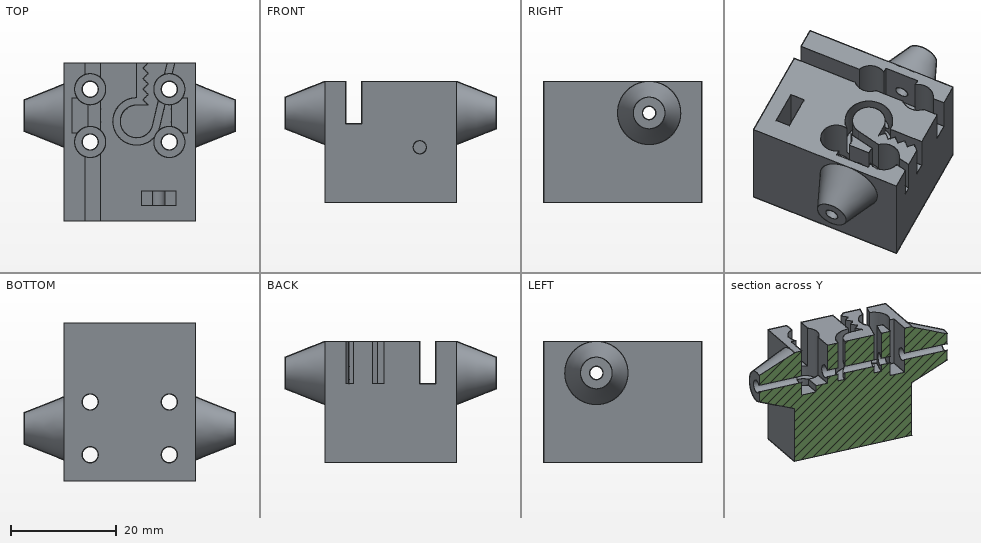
import cadquery as cq
import math

block_width = 25.0
block_length = 30.0
block_height = 23.0

nozzle_length = 7.5
nozzle_base_diameter = 12.0
nozzle_tip_diameter = 6.0
nozzle_y = 20.0
nozzle_z = block_height - nozzle_base_diameter / 2
bore_diameter = 2.5

groove_left = 4.0
groove_width = 3.0
groove_depth = 8.0

screw_diameter = 3.0
screw_head_diameter = 5.9
screw_head_depth = 10.0
screw_spacing_x = 15.0
screw_spacing_y = 10.0

side_pocket_width = 3.0
side_pocket_length = 6.6
side_pocket_depth = nozzle_base_diameter / 2 + side_pocket_length / 2
side_pocket_offset_x = 9.4

latch_slot_width = 1.4
latch_slot_depth = 8.0
latch_inner_radius = 3.1
latch_x = 13.8
latch_tilt = math.radians(13.2)
tooth_count = 4
tooth_pitch = 2.0
tooth_height = tooth_pitch / 2
tooth_tip_x = 15.0

clamp_screw_diameter = 2.5
clamp_x = 18.0
clamp_z = 10.5
nut_pocket_width = 6.5
nut_pocket_length = 2.75
nut_pocket_front_y = 3.0
nut_pocket_depth = 13.0


def top_pocket(left, front, width, length, depth):
    """Rectangular cutter reaching down from the top face."""
    floor_z = block_height - depth
    return cq.Workplane("XY").box(width, length, depth, centered=False).translate((left, front, floor_z))


def nozzle_body():
    """Both cones and the cylinder joining them, revolved about the bore axis."""
    base_radius = nozzle_base_diameter / 2
    tip_radius = nozzle_tip_diameter / 2
    right_end = block_width + nozzle_length
    return (
        cq.Workplane("XZ")
        .moveTo(-nozzle_length, 0)
        .lineTo(-nozzle_length, tip_radius)
        .lineTo(0, base_radius)
        .lineTo(block_width, base_radius)
        .lineTo(right_end, tip_radius)
        .lineTo(right_end, 0)
        .close()
        .revolve(360, (0, 0, 0), (1, 0, 0))
        .translate((0, nozzle_y, nozzle_z))
    )


def bore():
    total_length = block_width + 2 * nozzle_length
    return (
        cq.Workplane("YZ", origin=(-nozzle_length, nozzle_y, nozzle_z))
        .circle(bore_diameter / 2)
        .extrude(total_length)
    )


def screw_holes():
    centers = cq.Workplane("XY", origin=(block_width / 2, nozzle_y, 0)).rarray(
        screw_spacing_x, screw_spacing_y, 2, 2
    )
    shanks = centers.circle(screw_diameter / 2).extrude(block_height)
    heads = (
        centers.circle(screw_head_diameter / 2)
        .extrude(screw_head_depth)
        .translate((0, 0, block_height - screw_head_depth))
    )
    return shanks.union(heads)


def side_pocket(side):
    """Pocket on the left (side = -1) or the right (side = 1) of the block centre."""
    center_x = block_width / 2 + side * side_pocket_offset_x
    return top_pocket(
        center_x - side_pocket_width / 2,
        nozzle_y - side_pocket_length / 2,
        side_pocket_width,
        side_pocket_length,
        side_pocket_depth,
    )


def latch_slot():
    """Slot that leaves a latch arm: toothed opening, hooked bend and tilted straight run."""
    outer_radius = latch_inner_radius + latch_slot_width
    toothed_length = tooth_count * tooth_pitch
    hook_top_y = block_length - toothed_length
    center_y = hook_top_y - latch_inner_radius

    def on_circle(radius, angle):
        return (latch_x + radius * math.cos(angle), center_y + radius * math.sin(angle))

    def run_end(radius):
        """Where the tangent leaving the circle reaches the back face."""
        start_x, start_y = on_circle(radius, -latch_tilt)
        return (start_x + (block_length - start_y) * math.tan(latch_tilt), block_length)

    bend_middle = (math.pi / 2 + 2 * math.pi - latch_tilt) / 2
    outline = (
        cq.Workplane("XY", origin=(0, 0, block_height - latch_slot_depth))
        .moveTo(latch_x, block_length)
        .lineTo(latch_x, center_y + outer_radius)
        .threePointArc(on_circle(outer_radius, bend_middle), on_circle(outer_radius, -latch_tilt))
        .lineTo(*run_end(outer_radius))
        .lineTo(*run_end(latch_inner_radius))
        .lineTo(*on_circle(latch_inner_radius, -latch_tilt))
        .threePointArc(on_circle(latch_inner_radius, bend_middle), (latch_x, hook_top_y))
        .lineTo(tooth_tip_x + tooth_height, hook_top_y)
    )
    for tooth in range(tooth_count):
        root_y = hook_top_y + tooth * tooth_pitch
        outline = outline.lineTo(tooth_tip_x, root_y + tooth_pitch / 2)
        outline = outline.lineTo(tooth_tip_x + tooth_height, root_y + tooth_pitch)
    return outline.close().extrude(latch_slot_depth)


def clamp_cutter():
    """Nut pocket, and a screw hole that runs from the front face to its rear wall."""
    pocket = top_pocket(
        clamp_x - nut_pocket_width / 2,
        nut_pocket_front_y,
        nut_pocket_width,
        nut_pocket_length,
        nut_pocket_depth,
    )
    hole_length = nut_pocket_front_y + nut_pocket_length
    hole = (
        cq.Workplane("XZ", origin=(clamp_x, 0, clamp_z))
        .circle(clamp_screw_diameter / 2)
        .extrude(-hole_length)
    )
    return pocket.union(hole)


result = (
    cq.Workplane("XY")
    .box(block_width, block_length, block_height, centered=False)
    .union(nozzle_body())
    .cut(bore())
    .cut(top_pocket(groove_left, 0, groove_width, block_length, groove_depth))
    .cut(screw_holes())
    .cut(side_pocket(-1))
    .cut(side_pocket(1))
    .cut(latch_slot())
    .cut(clamp_cutter())
)